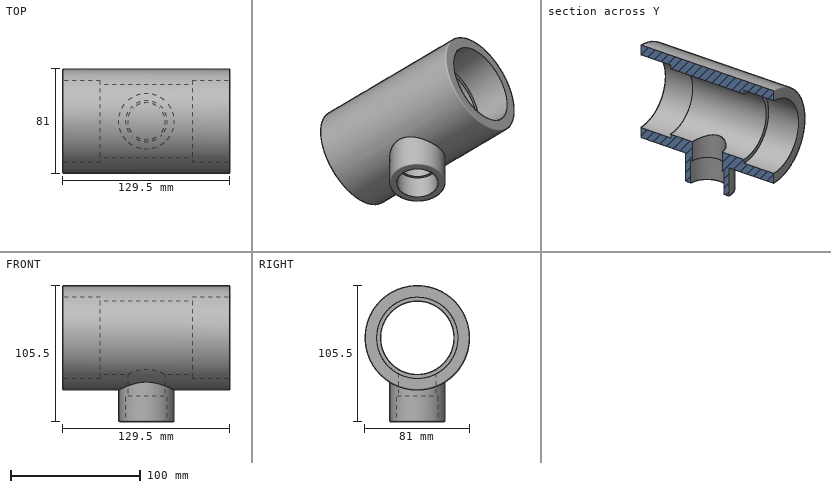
import cadquery as cq

BODY_LENGTH = 129.5
BODY_DIAMETER = 81.0
BODY_SOCKET_DIAMETER = 63.0
BODY_SOCKET_DEPTH = 29.0
BODY_BORE_DIAMETER = 56.7

OVERALL_HEIGHT = 105.5
BRANCH_REACH = OVERALL_HEIGHT - BODY_DIAMETER / 2
BRANCH_DIAMETER = 43.0
BRANCH_SOCKET_DIAMETER = 32.0
BRANCH_SOCKET_DEPTH = 20.0
BRANCH_BORE_DIAMETER = 28.8

BODY_RIM_RADIUS = 1.0
BRANCH_RIM_RADIUS = 1.0


def body_cylinder(diameter, length):
    """Cylinder along X, centred on the origin."""
    start = cq.Workplane("YZ", origin=(-length / 2, 0, 0))
    return start.circle(diameter / 2).extrude(length)


def branch_cylinder(diameter, length):
    """Cylinder along Z, rising by length from the branch mouth."""
    return cq.Workplane("XY", origin=(0, 0, -BRANCH_REACH)).circle(diameter / 2).extrude(length)


def body_socket(side):
    """Pipe socket at one end of the main pipe; side is -1 or 1."""
    mouth = cq.Workplane("YZ", origin=(side * BODY_LENGTH / 2, 0, 0))
    return mouth.circle(BODY_SOCKET_DIAMETER / 2).extrude(-side * BODY_SOCKET_DEPTH)


body = body_cylinder(BODY_DIAMETER, BODY_LENGTH).faces("<X or >X").fillet(BODY_RIM_RADIUS)
branch = branch_cylinder(BRANCH_DIAMETER, BRANCH_REACH).faces("<Z").fillet(BRANCH_RIM_RADIUS)
result = body.union(branch)

result = result.cut(body_cylinder(BODY_BORE_DIAMETER, BODY_LENGTH))
result = result.cut(branch_cylinder(BRANCH_BORE_DIAMETER, BRANCH_REACH))

for end_side in (-1, 1):
    result = result.cut(body_socket(end_side))
result = result.cut(branch_cylinder(BRANCH_SOCKET_DIAMETER, BRANCH_SOCKET_DEPTH))